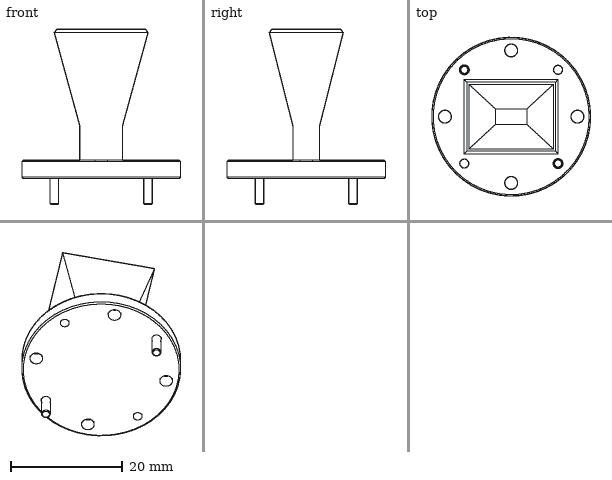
import cadquery as cq
import math

flange_thickness = 3.35
neck_height = 6.17
pin_projection = 4.6
overall_height = 31.5
throat_z = flange_thickness + neck_height
rim_z = overall_height - pin_projection

flange_diameter = 28.55
flange_chamfer = 0.28
hole_circle_radius = 11.9
screw_hole_diameter = 2.27
guide_hole_diameter = 1.57
pin_hole_diameter = 1.7
screw_hole_angles = (0, 90, 180, 270)
guide_hole_angles = (45, 225)
pin_angles = (135, 315)

pin_diameter = 1.57
pin_chamfer = 0.15

throat_length = 5.7
throat_width = 2.83
neck_wall = 1.0
mouth_length = 15.18
mouth_width = 11.62
rim_lip = 0.38
bevel_inset = 0.47
bevel_height = 0.65


def points_at(angles):
    """Places on the hole circle at the given angles in degrees."""
    return [
        (
            hole_circle_radius * math.cos(math.radians(angle)),
            hole_circle_radius * math.sin(math.radians(angle)),
        )
        for angle in angles
    ]


def drill(body, angles, diameter):
    """Cut through holes on the hole circle."""
    drills = cq.Workplane("XY").pushPoints(points_at(angles)).circle(diameter / 2).extrude(flange_thickness)
    return body.cut(drills)


def frustum(bottom_z, bottom_size, top_z, top_size):
    """Rectangular frustum centred on the Z axis."""
    return (
        cq.Workplane("XY")
        .workplane(offset=bottom_z)
        .rect(*bottom_size)
        .workplane(offset=top_z - bottom_z)
        .rect(*top_size)
        .loft(ruled=True)
    )


def grow(size, margin):
    """Rectangle size enlarged by a margin on every side."""
    return tuple(side + 2 * margin for side in size)


def make_flange():
    """Chamfered disc with screw, guide and pin holes."""
    disc = cq.Workplane("XY").circle(flange_diameter / 2).extrude(flange_thickness)
    disc = disc.edges().chamfer(flange_chamfer)
    disc = drill(disc, screw_hole_angles, screw_hole_diameter)
    disc = drill(disc, guide_hole_angles, guide_hole_diameter)
    return drill(disc, pin_angles, pin_hole_diameter)


def make_horn():
    """Solid neck and flared horn with a bevelled rim and a cavity down to the throat."""
    throat = (throat_length, throat_width)
    mouth = (mouth_length, mouth_width)
    neck_size = grow(throat, neck_wall)
    rim_size = grow(mouth, rim_lip)
    flare_size = grow(rim_size, bevel_inset)
    bevel_z = rim_z - bevel_height

    neck = frustum(flange_thickness, neck_size, throat_z, neck_size)
    flare = frustum(throat_z, neck_size, bevel_z, flare_size)
    bevel = frustum(bevel_z, flare_size, rim_z, rim_size)
    cavity = frustum(throat_z, throat, rim_z, mouth)
    return neck.union(flare).union(bevel).cut(cavity)


def make_antenna():
    """Flange and horn as one body."""
    return make_flange().union(make_horn())


def make_pin(place):
    """Dowel pin, chamfered at both ends and level with the top of the flange."""
    return (
        cq.Workplane("XY")
        .workplane(offset=-pin_projection)
        .center(*place)
        .circle(pin_diameter / 2)
        .extrude(pin_projection + flange_thickness)
        .edges("%CIRCLE")
        .chamfer(pin_chamfer)
    )


antenna = make_antenna()
pins = [make_pin(place) for place in points_at(pin_angles)]

result = cq.Compound.makeCompound([antenna.val(), *[pin.val() for pin in pins]])